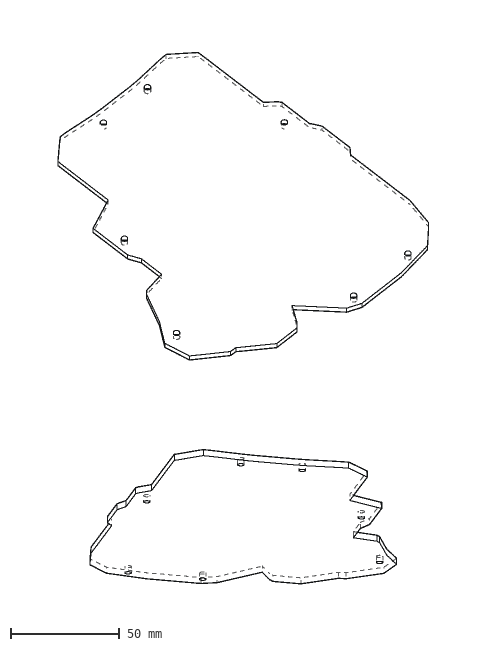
import cadquery as cq

width = 168.57
depth = 142.9
thickness = 3.0
hole_diameter = 3.0

x_left = -width / 2
x_right = width / 2
y_back = depth / 2
y_front = -depth / 2

left_end_axis_y = 16.65
left_end_half_depth = 45.85
left_top_y = left_end_axis_y + left_end_half_depth
left_bottom_y = left_end_axis_y - left_end_half_depth

back_shoulder_y = 68.5
front_shelf_y = -43.3
front_tab_y = -46.1
lobe_right_x = 73.4


def left_end_points():
    """Left end from front to back: a shallow waist between two cut corners."""
    upper_half = [
        (1.75, 9.3),
        (1.5, 15.3),
        (0.15, 30.4),
        (0.0, 34.4),
        (0.25, 34.95),
        (9.6, 45.8),
        (12.4, left_end_half_depth),
    ]
    upper = [(x_left + inset, left_end_axis_y + offset) for inset, offset in upper_half]
    lower = [(x_left + inset, left_end_axis_y - offset) for inset, offset in reversed(upper_half)]
    return lower + upper


def back_edge_points():
    """Back edge from left to right: a step up, then a low raised tab."""
    return [
        (-32.4, left_top_y),
        (-28.0, 67.45),
        (-26.4, back_shoulder_y),
        (-8.6, back_shoulder_y),
        (-3.35, y_back),
        (14.9, y_back),
        (18.3, back_shoulder_y),
        (56.7, back_shoulder_y),
    ]


def right_end_points():
    """Right end from back to front, down to the notch above the lobe."""
    return [
        (72.2, 65.1),
        (81.45, 54.95),
        (x_right, 35.05),
        (x_right, 9.35),
        (81.3, 2.35),
        (62.45, -14.25),
    ]


def lobe_points():
    """Slanted lobe at the front right, clockwise from the notch."""
    return [
        (71.15, -19.8),
        (lobe_right_x, -22.05),
        (lobe_right_x, -35.3),
        (63.55, -48.05),
        (61.8, -50.2),
        (61.6, -53.7),
        (50.15, -68.8),
        (37.4, -71.35),
        (36.75, y_front),
        (35.75, -70.8),
        (25.8, -64.0),
        (10.0, -56.55),
        (8.55, -54.9),
    ]


def front_edge_points():
    """Front edge from the lobe back to the left end: a shelf and a low tab."""
    return [
        (6.65, front_shelf_y),
        (-6.4, front_shelf_y),
        (-12.5, front_tab_y),
        (-35.1, front_tab_y),
        (-36.1, -43.45),
        (-42.0, left_bottom_y),
    ]


hole_centres = [
    (-17.15, 60.85),
    (78.3, 45.4),
    (78.3, 9.95),
    (-76.6, 31.35),
    (-76.1, 2.1),
    (-20.45, -40.2),
    (36.2, -63.25),
]

outline = (
    left_end_points()
    + back_edge_points()
    + right_end_points()
    + lobe_points()
    + front_edge_points()
)

plate = cq.Workplane("XY").polyline(outline).close().extrude(thickness)
holes = cq.Workplane("XY").pushPoints(hole_centres).circle(hole_diameter / 2).extrude(thickness)

result = plate.cut(holes)